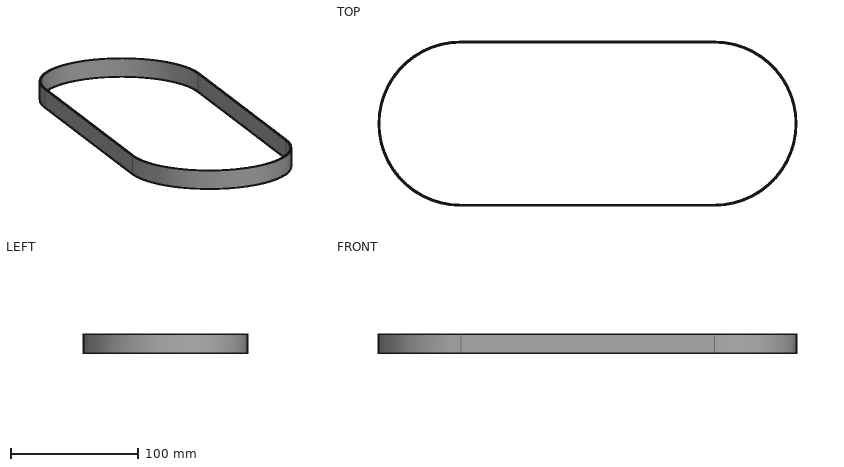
import cadquery as cq

length = 329.3
width = 129.5
height = 15.0
wall = 1.0

outer = cq.Workplane("XY").slot2D(length, width).extrude(height)

opening = cq.Workplane("XY").slot2D(length - 2 * wall, width - 2 * wall).extrude(height)

result = outer.cut(opening)